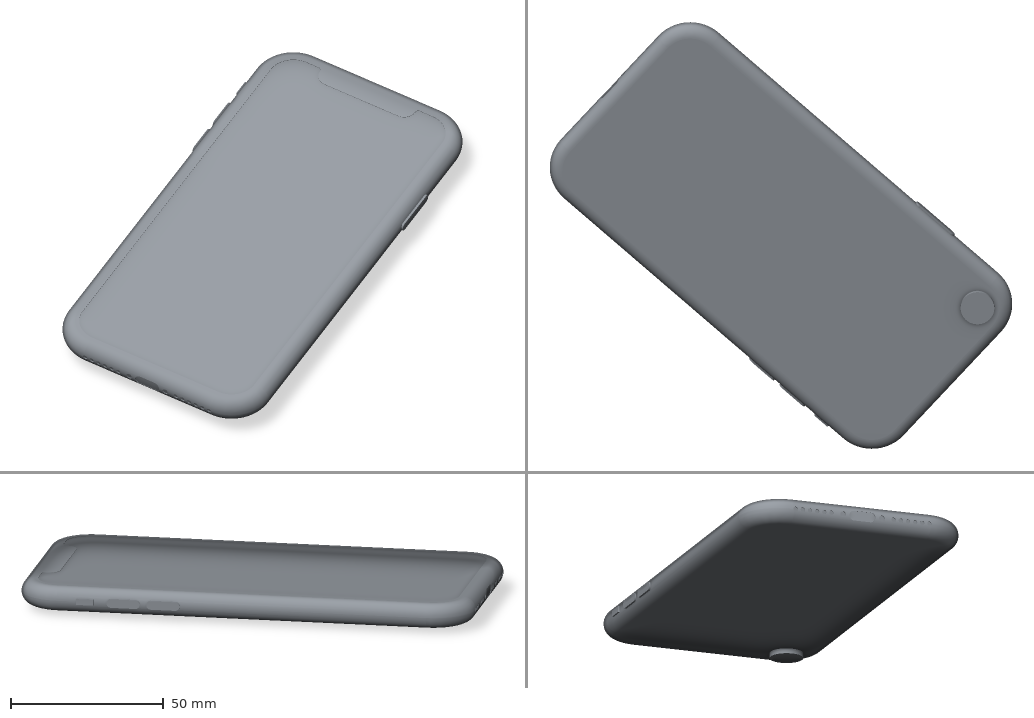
import cadquery as cq

LENGTH = 150.9
WIDTH = 75.8
THICKNESS = 8.3
CORNER_RADIUS = 14.0
RIM_LAND = 0.03

SCREEN_MARGIN = 1.4
SCREEN_DEPTH = 0.2
NOTCH_WIDTH = 35.9
NOTCH_DEPTH = 5.5
NOTCH_LOWER_RADIUS = 4.0
NOTCH_UPPER_RADIUS = 1.0

OPENING_DEPTH = 0.5
PORT_WIDTH = 9.0
PORT_HEIGHT = 3.3
SCREW_DIAMETER = 2.0
SCREW_OFFSET = 6.8
GRILLE_DIAMETER = 1.5
GRILLE_START = 10.9
GRILLE_END = 23.4
GRILLE_COUNT = 6

BUTTON_PROTRUSION = 0.5
BUTTON_ROOT = 1.5
BUTTON_HEIGHT = 2.9
VOLUME_LENGTH = 11.0
VOLUME_UP_FROM_TOP = 36.2
VOLUME_DOWN_FROM_TOP = 49.5
POWER_LENGTH = 16.8
POWER_FROM_TOP = 41.8
SWITCH_LENGTH = 5.7
SWITCH_HEIGHT = 2.0
SWITCH_FROM_TOP = 23.4

CAMERA_DIAMETER = 11.0
CAMERA_HEIGHT = 1.7
CAMERA_X = 25.8
CAMERA_FROM_TOP = 12.2

top_end = LENGTH / 2
side = WIDTH / 2
front_face = THICKNESS / 2
edge_radius = (THICKNESS - RIM_LAND) / 2
grille_pitch = (GRILLE_END - GRILLE_START) / (GRILLE_COUNT - 1)
screen_inset = edge_radius + SCREEN_MARGIN


def make_body():
    """Rounded slab with fully rounded rims; the front and back stay flat."""
    slab = cq.Workplane("XY").box(WIDTH, LENGTH, THICKNESS)
    slab = slab.edges("|Z").fillet(CORNER_RADIUS)
    return slab.faces("<Z or >Z").edges().fillet(edge_radius)


def make_screen():
    """Display panel shape, with the sensor notch left out at the top end."""
    base = cq.Workplane("XY").workplane(offset=front_face - SCREEN_DEPTH)
    panel = base.rect(WIDTH - 2 * screen_inset, LENGTH - 2 * screen_inset).extrude(SCREEN_DEPTH)
    panel = panel.edges("|Z").fillet(CORNER_RADIUS - screen_inset)

    panel_top = top_end - screen_inset
    notch = base.center(0, panel_top).rect(NOTCH_WIDTH, 2 * NOTCH_DEPTH).extrude(SCREEN_DEPTH)
    notch = notch.edges("|Z").fillet(NOTCH_LOWER_RADIUS)
    panel = panel.cut(notch)

    mouth_y = panel_top - NOTCH_UPPER_RADIUS
    half_mouth = NOTCH_WIDTH / 2 + NOTCH_UPPER_RADIUS
    mouth = cq.selectors.BoxSelector(
        (-half_mouth, mouth_y, 0), (half_mouth, top_end, THICKNESS)
    )
    return panel.edges("|Z").edges(mouth).fillet(NOTCH_UPPER_RADIUS)


def make_bottom_openings():
    """Charging port, two screw holes and two rows of grille holes in the bottom end."""
    face = cq.Workplane("XZ", origin=(0, -top_end, 0))
    screws = [(sign * SCREW_OFFSET, 0) for sign in (-1, 1)]
    grille = [
        (sign * (GRILLE_START + index * grille_pitch), 0)
        for sign in (-1, 1)
        for index in range(GRILLE_COUNT)
    ]
    port = face.slot2D(PORT_WIDTH, PORT_HEIGHT).extrude(-OPENING_DEPTH)
    screw_holes = face.pushPoints(screws).circle(SCREW_DIAMETER / 2).extrude(-OPENING_DEPTH)
    grille_holes = face.pushPoints(grille).circle(GRILLE_DIAMETER / 2).extrude(-OPENING_DEPTH)
    return port.union(screw_holes).union(grille_holes)


def side_plane(direction, from_top):
    """Plane just inside a long side: direction is -1 for the left side, +1 for the right."""
    origin = (direction * (side - BUTTON_ROOT), top_end - from_top, 0)
    return cq.Workplane(cq.Plane(origin=origin, xDir=(0, 1, 0), normal=(direction, 0, 0)))


def make_button(direction, from_top, length):
    """Round-ended button standing out from a long side."""
    sketch = side_plane(direction, from_top).slot2D(length, BUTTON_HEIGHT)
    return sketch.extrude(BUTTON_ROOT + BUTTON_PROTRUSION)


def make_mute_switch():
    """Rectangular switch above the volume buttons."""
    sketch = side_plane(-1, SWITCH_FROM_TOP).rect(SWITCH_LENGTH, SWITCH_HEIGHT)
    return sketch.extrude(BUTTON_ROOT + BUTTON_PROTRUSION)


def make_camera():
    """Round camera bump on the back, rooted at mid-thickness of the body."""
    sketch = cq.Workplane("XY").center(CAMERA_X, top_end - CAMERA_FROM_TOP)
    return sketch.circle(CAMERA_DIAMETER / 2).extrude(-(THICKNESS / 2 + CAMERA_HEIGHT))


result = (
    make_body()
    .cut(make_screen())
    .cut(make_bottom_openings())
    .union(make_button(-1, VOLUME_UP_FROM_TOP, VOLUME_LENGTH))
    .union(make_button(-1, VOLUME_DOWN_FROM_TOP, VOLUME_LENGTH))
    .union(make_button(1, POWER_FROM_TOP, POWER_LENGTH))
    .union(make_mute_switch())
    .union(make_camera())
)